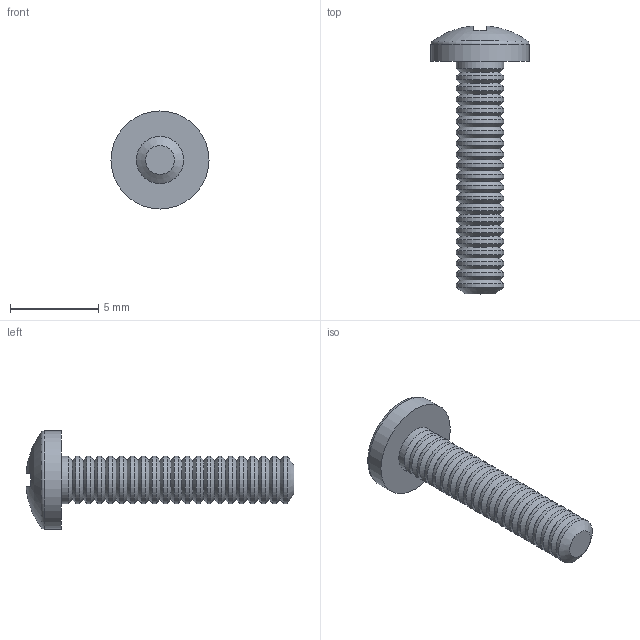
import cadquery as cq
import math


head_diameter = 5.56
head_height = 2.035
dome_radius = 4.52
dome_edge_fillet = 0.22

slot_width = 0.78
slot_floor_height = 1.745

shank_length = 13.2
thread_major_diameter = 2.69
thread_root_diameter = 2.18
thread_pitch = 0.62
thread_crest_width = 0.22
groove_count = 20
tip_diameter = 1.65
tip_chamfer_length = 0.37

head_radius = head_diameter / 2
major_radius = thread_major_diameter / 2
root_radius = thread_root_diameter / 2
groove_width = thread_pitch - thread_crest_width
first_groove_y = -(shank_length - tip_chamfer_length - groove_count * thread_pitch)


def revolve_about_screw_axis(profile):
    """Turn a closed XY profile a full turn about the Y axis."""
    return profile.revolve(360, (0, 0, 0), (0, 1, 0))


def make_head():
    """Cylindrical rim, rounded edge and spherical dome."""
    dome_center_y = head_height - dome_radius

    edge_center_x = head_radius - dome_edge_fillet
    center_distance = dome_radius - dome_edge_fillet
    edge_center_y = dome_center_y + math.sqrt(center_distance**2 - edge_center_x**2)
    dome_edge_angle = math.asin(edge_center_x / center_distance)

    def dome_point(angle):
        x = dome_radius * math.sin(angle)
        y = dome_center_y + dome_radius * math.cos(angle)
        return (x, y)

    edge_mid_angle = (math.pi / 2 + dome_edge_angle) / 2
    edge_mid_point = (
        edge_center_x + dome_edge_fillet * math.sin(edge_mid_angle),
        edge_center_y + dome_edge_fillet * math.cos(edge_mid_angle),
    )
    profile = (
        cq.Workplane("XY")
        .lineTo(head_radius, 0)
        .lineTo(head_radius, edge_center_y)
        .threePointArc(edge_mid_point, dome_point(dome_edge_angle))
        .threePointArc(dome_point(dome_edge_angle / 2), (0, head_height))
        .close()
    )
    return revolve_about_screw_axis(profile)


def make_threaded_shank():
    """Shank with evenly spaced V grooves and a chamfered tip."""
    profile = cq.Workplane("XY").lineTo(major_radius, 0)
    for index in range(groove_count):
        groove_start = first_groove_y - index * thread_pitch
        profile = (
            profile.lineTo(major_radius, groove_start)
            .lineTo(root_radius, groove_start - groove_width / 2)
            .lineTo(major_radius, groove_start - groove_width)
        )
    profile = (
        profile.lineTo(major_radius, -shank_length + tip_chamfer_length)
        .lineTo(tip_diameter / 2, -shank_length)
        .lineTo(0, -shank_length)
        .close()
    )
    return revolve_about_screw_axis(profile)


def make_cross_slots():
    """Two crossing slots along X and Z that run out through the dome."""
    slot_depth = head_height - slot_floor_height
    slot_center = (0, slot_floor_height + slot_depth / 2, 0)
    slot_along_x = cq.Workplane("XY").box(head_diameter, slot_depth, slot_width)
    slot_along_z = cq.Workplane("XY").box(slot_width, slot_depth, head_diameter)
    return slot_along_x.union(slot_along_z).translate(slot_center)


result = make_head().union(make_threaded_shank()).cut(make_cross_slots())